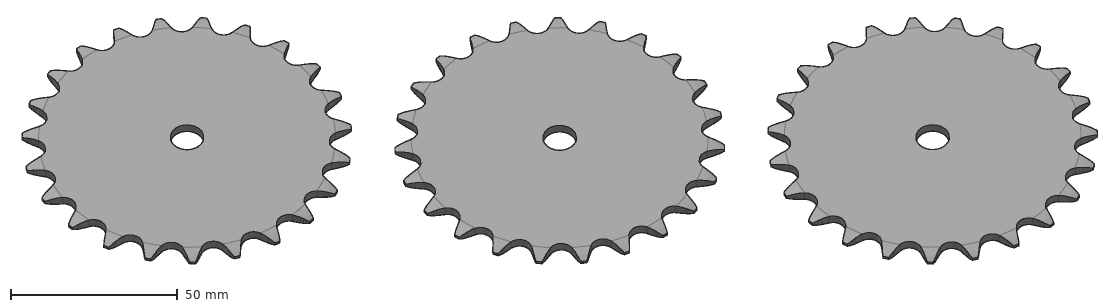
import cadquery as cq
import math

tooth_count = 23
overall_width = 98.9
thickness = 3.0
bore_diameter = 10.0

chain_pitch = 12.7
pitch_radius = chain_pitch / 2 / math.sin(math.pi / tooth_count)
root_radius = 42.7
seat_radius = pitch_radius - root_radius

tooth_angle = 2 * math.pi / tooth_count
seat_half_angle = math.radians(57)
concave_end_height = 46.9
concave_end_width = 3.9
straight_length = 0.9
tip_half_angle = math.radians(1)

outer_radius = overall_width / 2 / math.cos(tooth_angle / 4 - tip_half_angle)

side_round_start = 44.5
side_round_radius = chain_pitch

cut_clearance = 1.0


def seat_point(angle):
    """Point on the roller seat, at an angle from its deepest point."""
    return seat_radius * math.sin(angle), pitch_radius - seat_radius * math.cos(angle)


def tooth_to_gap(half_width, height):
    """Point on the gap side of the next tooth, given along and across that tooth's centreline."""
    lean = tooth_angle / 2
    x = height * math.sin(lean) - half_width * math.cos(lean)
    y = height * math.cos(lean) + half_width * math.sin(lean)
    return x, y


def make_gap():
    """Cutter for the gap between two teeth, with the gap centreline along +Y."""
    seat_end = seat_point(seat_half_angle)
    concave_end = tooth_to_gap(concave_end_width / 2, concave_end_height)
    tip = tooth_to_gap(outer_radius * math.sin(tip_half_angle), outer_radius * math.cos(tip_half_angle))

    seat_end_direction = math.pi / 2 - seat_half_angle
    chord_direction = math.atan2(concave_end[0] - seat_end[0], concave_end[1] - seat_end[1])
    straight_direction = 2 * chord_direction - seat_end_direction
    straight_end = (
        concave_end[0] + straight_length * math.sin(straight_direction),
        concave_end[1] + straight_length * math.cos(straight_direction),
    )

    half_gap = (
        cq.Workplane("XY")
        .workplane(offset=-thickness / 2)
        .moveTo(*seat_point(0))
        .threePointArc(seat_point(seat_half_angle / 2), seat_end)
        .tangentArcPoint(concave_end, relative=False)
        .lineTo(*straight_end)
        .tangentArcPoint(tip, relative=False)
        .lineTo(tip[0], outer_radius + cut_clearance)
        .lineTo(0, outer_radius + cut_clearance)
        .close()
        .extrude(thickness)
    )
    return half_gap.union(half_gap.mirror("YZ"))


def side_round_point(angle):
    """Radius and height on the upper side arc, at an angle past the flat face."""
    radius = side_round_start + side_round_radius * math.sin(angle)
    height = thickness / 2 - side_round_radius * (1 - math.cos(angle))
    return radius, height


def make_blank():
    """Disc whose rim thins symmetrically along arcs tangent to its flat faces."""
    round_angle = math.asin((outer_radius - side_round_start) / side_round_radius)
    upper_half = (
        cq.Workplane("XZ")
        .lineTo(outer_radius, 0)
        .lineTo(*side_round_point(round_angle))
        .threePointArc(side_round_point(round_angle / 2), side_round_point(0))
        .lineTo(0, thickness / 2)
        .close()
        .revolve(360, (0, 0, 0), (0, 1, 0))
    )
    return upper_half.union(upper_half.mirror("XY"))


sprocket = make_blank()
gap = make_gap()
for index in range(tooth_count):
    sprocket = sprocket.cut(gap.rotate((0, 0, 0), (0, 0, 1), math.degrees(index * tooth_angle)))

result = sprocket.faces(">Z").workplane(origin=(0, 0, 0)).hole(bore_diameter)